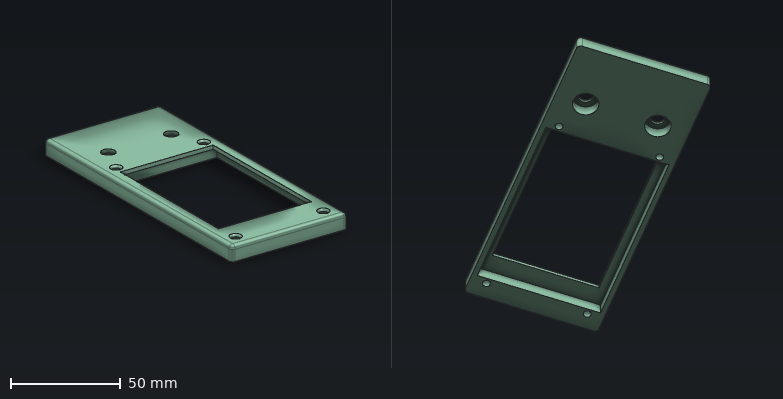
import cadquery as cq

length = 148.0
width = 65.0
height = 8.3
edge_radius = 2.0

panel_thickness = 2.0
window_length = 77.4
window_width = 51.8
window_center_x = 15.8
pocket_length = 88.8
pocket_width = 60.0

screw_center_x = 19.0
screw_spacing_x = 94.1
screw_spacing_y = 49.0
screw_diameter = 3.5
countersink_diameter = 6.0
countersink_angle = 100.0

control_x = -44.1
control_spacing_y = 35.1
control_diameter = 7.0
control_bore_diameter = 12.0

pocket_depth = height - panel_thickness


def make_body():
    """Block with rounded upright edges and a rounded top rim."""
    block = cq.Workplane("XY").box(length, width, height, centered=(True, True, False))
    return block.edges("|Z or >Z").fillet(edge_radius)


def cut_display_opening(body):
    """Cut the window through the panel and the display pocket from below."""
    window = (
        cq.Workplane("XY")
        .center(window_center_x, 0)
        .rect(window_length, window_width)
        .extrude(height)
    )
    pocket = (
        cq.Workplane("XY")
        .center(screw_center_x, 0)
        .rect(pocket_length, pocket_width)
        .extrude(pocket_depth)
    )
    return body.cut(window).cut(pocket)


def cut_screw_holes(body):
    """Cut four countersunk through holes."""
    return (
        body.faces(">Z")
        .workplane(origin=(screw_center_x, 0, height))
        .rarray(screw_spacing_x, screw_spacing_y, 2, 2)
        .cskHole(screw_diameter, countersink_diameter, countersink_angle)
    )


def cut_control_holes(body):
    """Cut two stepped holes that leave only the panel thickness at the top."""
    for y in (-control_spacing_y / 2, control_spacing_y / 2):
        base = cq.Workplane("XY").center(control_x, y)
        hole = base.circle(control_diameter / 2).extrude(height)
        bore = base.circle(control_bore_diameter / 2).extrude(pocket_depth)
        body = body.cut(hole).cut(bore)
    return body


result = make_body()
result = cut_display_opening(result)
result = cut_screw_holes(result)
result = cut_control_holes(result)